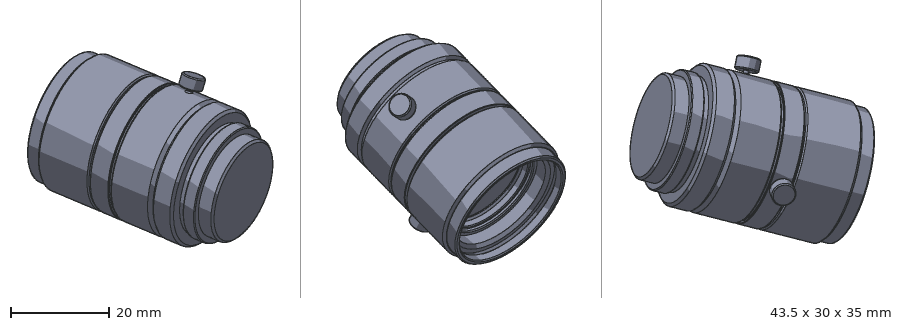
import cadquery as cq
import math

LENGTH = 43.5
BODY_R = 15.0
FINE_CHAMFER = 0.3

FRONT_RING_R = 14.3
FRONT_RING_END = 2.95
FRONT_SHOULDER = 0.55
FOCUS_END = 15.52
FOCUS_GROOVE_END = 15.95
FOCUS_GROOVE_R = 14.05
BAND_END = 20.45
BAND_CHAMFER = 0.15
BAND_GROOVE_END = 20.9
BAND_GROOVE_R = 14.5
VEE_X = 30.95
VEE_DEPTH = 0.55
VEE_FRONT_WIDTH = 0.9
REAR_BODY_END = 36.05
NECK_END = 37.1
NECK_R = 12.2
FLANGE_END = 39.95
FLANGE_R = 12.7
FLANGE_CHAMFER = 0.2
MOUNT_R = 11.2
MOUNT_CHAMFER = 0.5

RIM_CHAMFER = 0.25
MOUTH_R = 13.17
RELIEF_START = 1.9
RELIEF_RISE = 0.8
RELIEF_FRONT_WIDTH = 0.45
RELIEF_REAR_DROP = 0.52
STEP_R = 12.45
STEP_CHAMFER = 0.75
CAVITY_R = STEP_R - STEP_CHAMFER
CAVITY_END = 6.35
SEAT_R = 10.7
SEAT_CHAMFER = 0.25
SEAT_END = 7.17
RETAINER_R = 10.1
RETAINER_CHAMFER = 0.2
RETAINER_END = 8.7
LENS_R = 9.65
LENS_EDGE_X = 9.4
LENS_BULGE = 1.45

KNOB_R = 2.52
KNOB_TOP = 18.8
KNOB_HEIGHT = 2.8
KNOB_CHAMFER = 0.25
STEM_R = 0.55
COLLAR_R = 0.9
COLLAR_TOP = 15.4
STEM_FOOT = 14.15
UPPER_KNOB_X = 25.52
UPPER_KNOB_ANGLE = 30.0
UPPER_KNOB_OFFSET = 0.65
UPPER_KNOB_SINK = 0.15
LOWER_KNOB_X = 18.05
LOWER_KNOB_ANGLE = 180.0 - UPPER_KNOB_ANGLE


def barrel():
    c = FINE_CHAMFER
    outer = [
        (0, FRONT_RING_R - c),
        (c, FRONT_RING_R),
        (FRONT_RING_END, FRONT_RING_R),
        (FRONT_RING_END, BODY_R - FRONT_SHOULDER),
        (FRONT_RING_END + FRONT_SHOULDER, BODY_R),
        (FOCUS_END - c, BODY_R),
        (FOCUS_END, BODY_R - c),
        (FOCUS_END, FOCUS_GROOVE_R),
        (FOCUS_GROOVE_END, FOCUS_GROOVE_R),
        (FOCUS_GROOVE_END, BODY_R - BAND_CHAMFER),
        (FOCUS_GROOVE_END + BAND_CHAMFER, BODY_R),
        (BAND_END - BAND_CHAMFER, BODY_R),
        (BAND_END, BODY_R - BAND_CHAMFER),
        (BAND_END, BAND_GROOVE_R),
        (BAND_GROOVE_END, BAND_GROOVE_R),
        (BAND_GROOVE_END, BODY_R - c),
        (BAND_GROOVE_END + c, BODY_R),
        (VEE_X - VEE_FRONT_WIDTH, BODY_R),
        (VEE_X, BODY_R - VEE_DEPTH),
        (VEE_X + VEE_DEPTH, BODY_R),
        (REAR_BODY_END - VEE_DEPTH, BODY_R),
        (REAR_BODY_END, BODY_R - VEE_DEPTH),
        (REAR_BODY_END, NECK_R),
        (NECK_END, NECK_R),
        (NECK_END, FLANGE_R - FLANGE_CHAMFER),
        (NECK_END + FLANGE_CHAMFER, FLANGE_R),
        (FLANGE_END - FLANGE_CHAMFER, FLANGE_R),
        (FLANGE_END, FLANGE_R - FLANGE_CHAMFER),
        (FLANGE_END, MOUNT_R),
        (LENGTH - MOUNT_CHAMFER, MOUNT_R),
        (LENGTH, MOUNT_R - MOUNT_CHAMFER),
        (LENGTH, 0),
    ]
    relief_x = RELIEF_START + RELIEF_FRONT_WIDTH
    relief_r = MOUTH_R + RELIEF_RISE
    step_x = relief_x + RELIEF_REAR_DROP
    recess = [
        (LENS_EDGE_X, LENS_R),
        (RETAINER_END + RETAINER_R - LENS_R, LENS_R),
        (RETAINER_END, RETAINER_R),
        (SEAT_END + RETAINER_CHAMFER, RETAINER_R),
        (SEAT_END, RETAINER_R + RETAINER_CHAMFER),
        (SEAT_END, SEAT_R),
        (CAVITY_END + SEAT_CHAMFER, SEAT_R),
        (CAVITY_END, SEAT_R + SEAT_CHAMFER),
        (CAVITY_END, CAVITY_R),
        (step_x + STEP_CHAMFER, CAVITY_R),
        (step_x, STEP_R),
        (step_x, relief_r - RELIEF_REAR_DROP),
        (relief_x, relief_r),
        (RELIEF_START, MOUTH_R),
        (RIM_CHAMFER, MOUTH_R),
        (0, MOUTH_R + RIM_CHAMFER),
    ]
    lens_sphere_r = (LENS_R**2 + LENS_BULGE**2) / (2 * LENS_BULGE)
    lens_apex_x = LENS_EDGE_X - LENS_BULGE
    mid_r = LENS_R / 2
    mid_x = lens_apex_x + lens_sphere_r - math.sqrt(lens_sphere_r**2 - mid_r**2)
    profile = (
        cq.Workplane("XY")
        .moveTo(lens_apex_x, 0)
        .threePointArc((mid_x, mid_r), recess[0])
        .polyline(recess[1:] + outer, includeCurrent=True)
        .close()
    )
    return profile.revolve(360, (0, 0, 0), (1, 0, 0))


def lock_screw(x, angle, offset=0, sink=0):
    c = KNOB_CHAMFER
    knob_base = KNOB_TOP - KNOB_HEIGHT
    half_section = [
        (0, STEM_FOOT),
        (COLLAR_R, STEM_FOOT),
        (COLLAR_R, COLLAR_TOP - (COLLAR_R - STEM_R)),
        (STEM_R, COLLAR_TOP),
        (STEM_R, knob_base),
        (KNOB_R - c, knob_base),
        (KNOB_R, knob_base + c),
        (KNOB_R, KNOB_TOP - c),
        (KNOB_R - c, KNOB_TOP),
        (0, KNOB_TOP),
    ]
    upright = cq.Workplane("XZ").polyline(half_section).close().revolve(360, (0, 0, 0), (0, 1, 0))
    return upright.translate((0, -offset, -sink)).rotate((0, 0, 0), (1, 0, 0), -angle).translate((x, 0, 0))


result = (
    barrel()
    .union(lock_screw(UPPER_KNOB_X, UPPER_KNOB_ANGLE, UPPER_KNOB_OFFSET, UPPER_KNOB_SINK))
    .union(lock_screw(LOWER_KNOB_X, LOWER_KNOB_ANGLE))
)